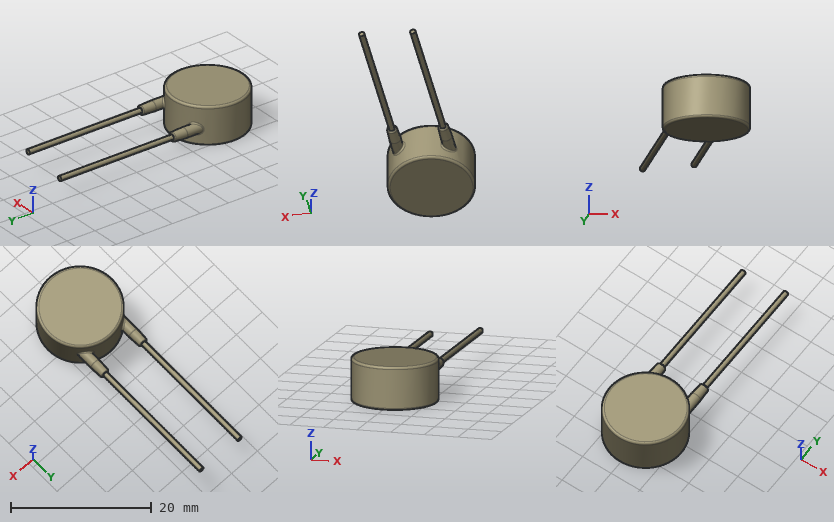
import cadquery as cq

total_length = 35.5
body_diameter = 12.5
body_height = 6.4
body_edge_radius = 0.35
body_radius = body_diameter / 2

lead_x = 3.73
lead_z = 0.515
wire_diameter = 0.8
wire_end_y = total_length - body_radius

sleeve_diameter = 1.67
sleeve_end_diameter = 1.45
sleeve_end_rounding = 0.15
sleeve_root_fillet = 0.2
sleeve_start_y = body_radius / 2
taper_start_y = body_radius + 0.8
sleeve_end_y = body_radius + 2.95


def make_body():
    """Disc with rounded top and bottom rims."""
    disc = cq.Workplane("XY").cylinder(body_height, body_radius)
    return disc.faces("|Z").edges().fillet(body_edge_radius)


def section_plane(x, y, z):
    """Workplane across a lead, facing +Y."""
    return cq.Workplane(cq.Plane(origin=(x, y, z), xDir=(1, 0, 0), normal=(0, 1, 0)))


def make_sleeve(x, z):
    """Straight sleeve followed by a taper with a rounded end."""
    straight = (
        section_plane(x, sleeve_start_y, z)
        .circle(sleeve_diameter / 2)
        .extrude(taper_start_y - sleeve_start_y)
    )
    taper = (
        section_plane(x, taper_start_y, z)
        .circle(sleeve_diameter / 2)
        .workplane(offset=sleeve_end_y - taper_start_y)
        .circle(sleeve_end_diameter / 2)
        .loft()
        .faces(">Y")
        .edges()
        .fillet(sleeve_end_rounding)
    )
    return straight.union(taper)


def make_wire(x, z):
    """Round wire from inside the sleeve to the free end."""
    wire_length = wire_end_y - taper_start_y
    return section_plane(x, taper_start_y, z).circle(wire_diameter / 2).extrude(wire_length)


def root_edges(part):
    """Edges where the sleeves meet the curved side of the body."""
    root_zone = cq.selectors.BoxSelector(
        (-body_radius, sleeve_start_y, -sleeve_diameter),
        (body_radius, body_radius, sleeve_diameter),
    )
    return part.edges(root_zone).edges("not |Y")


lead_positions = [(-lead_x, -lead_z), (lead_x, lead_z)]

result = make_body()
for x, z in lead_positions:
    result = result.union(make_sleeve(x, z))
result = root_edges(result).fillet(sleeve_root_fillet)
for x, z in lead_positions:
    result = result.union(make_wire(x, z))